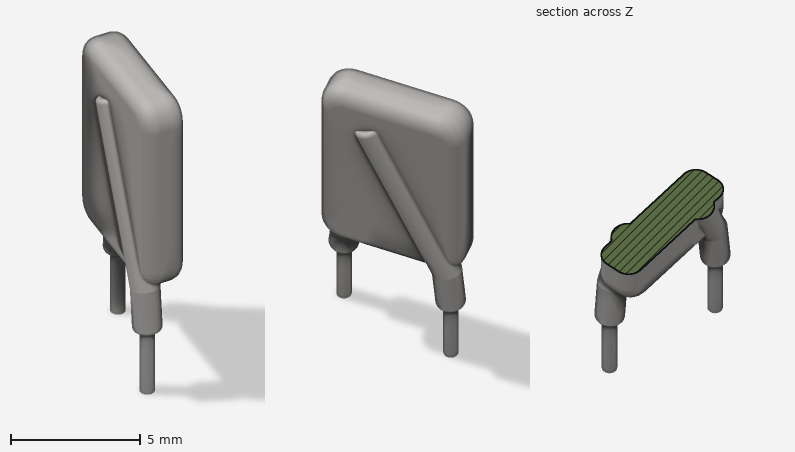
import cadquery as cq

body_width = 5.99
body_thickness = 1.8
body_corner_radius = 1.0
body_edge_radius = 0.6
body_bottom = 5.0
overall_height = 14
body_height = overall_height - body_bottom

wire_diameter = 0.6
wire_x = 2.46
sleeve_diameter = 1.19
sleeve_end_radius = 0.17
sleeve_bottom = 3.04
lead_y = 0.6

bend_x = 2.3
bend_z = 5.0
front_bottom_x = 2.49
front_tip = (-0.73, 12.3)
rear_bottom_x = 2.46
rear_tip = (1.0, 12.39)


def make_body():
    block = cq.Workplane("XY").box(body_width, body_thickness, body_height)
    block = block.edges("|Y").fillet(body_corner_radius)
    block = block.faces("<Y or >Y").edges().fillet(body_edge_radius)
    return block.translate((0, 0, body_bottom + body_height / 2))


def make_sleeve(bottom, bend, tip, y):
    """Sweep a bent sleeve with a mitred bend and rounded ends."""
    points = [cq.Vector(x, y, z) for x, z in (bottom, bend, tip)]
    path = cq.Workplane("XY").polyline(points)
    start = cq.Plane(origin=points[0], xDir=(0, 1, 0), normal=points[1] - points[0])
    sleeve = cq.Workplane(start).circle(sleeve_diameter / 2).sweep(path, transition="right")
    return sleeve.faces("<Z or >Z").edges().fillet(sleeve_end_radius)


def make_wire(x, y):
    wire = cq.Workplane("XY").center(x, y).circle(wire_diameter / 2)
    return wire.extrude(bend_z)


front_sleeve = make_sleeve((front_bottom_x, sleeve_bottom), (bend_x, bend_z), front_tip, -lead_y)
rear_sleeve = make_sleeve((-rear_bottom_x, sleeve_bottom), (-bend_x, bend_z), rear_tip, lead_y)

result = make_body().union(front_sleeve).union(rear_sleeve)
for side in (-1, 1):
    result = result.union(make_wire(side * wire_x, -side * lead_y))